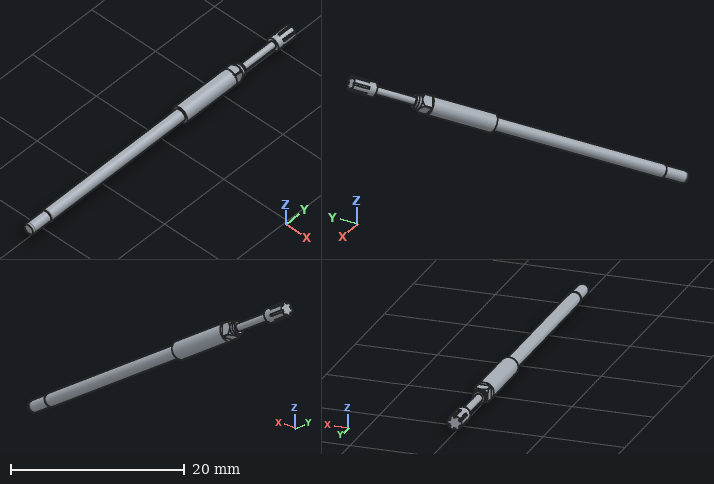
import cadquery as cq

length = 44.3
front = length / 2

drive_across_flats = 1.7

head_radius = 0.9
shaft_radius = 0.5
collar_radius = drive_across_flats / 2
collar_nose_radius = 0.75
barrel_radius = 1.15
tube_radius = 0.85
tail_radius = 0.75

head_end = 3.0
collar_start = 8.35
collar_edge = 8.6
drive_start = 9.0
drive_end = 10.3
barrel_end = 18.75
tube_end = 41.35

tail_chamfer_length = 0.3
tail_chamfer_depth = 0.1
tube_chamfer_length = 0.15
tube_chamfer_depth = 0.035

cutter_margin = 0.45

groove_count = 6
groove_width = 0.245
groove_depth = 0.2
groove_length = 2.0
first_groove_angle = 90.0


def turned_body():
    """Revolve the stepped half profile, listed as (radius, distance), about Y."""
    drive_chamfer = barrel_radius - collar_radius
    profile = [
        (0, 0),
        (head_radius, 0),
        (head_radius, head_end),
        (shaft_radius, head_end),
        (shaft_radius, collar_start),
        (collar_nose_radius, collar_start),
        (collar_radius, collar_edge),
        (collar_radius, drive_start),
        (barrel_radius, drive_start + drive_chamfer),
        (barrel_radius, barrel_end),
        (tube_radius, barrel_end),
        (tube_radius, tube_end - tube_chamfer_length),
        (tube_radius - tube_chamfer_depth, tube_end),
        (tail_radius, tube_end),
        (tail_radius, length - tail_chamfer_length),
        (tail_radius - tail_chamfer_depth, length),
        (0, length),
    ]
    points = [(radius, front - distance) for radius, distance in profile]
    return cq.Workplane("XY").polyline(points).close().revolve(360, (0, 0, 0), (0, 1, 0))


def drive_cutter():
    """Ring of material outside the square drive."""
    start = cq.Workplane("XZ", origin=(0, front - drive_start, 0))
    drive_length = drive_end - drive_start
    stock = start.circle(barrel_radius + cutter_margin).extrude(drive_length)
    square = start.rect(drive_across_flats, drive_across_flats).extrude(drive_length)
    return stock.cut(square)


def groove_cutters():
    """Radial slots open at the head end and at the rim."""
    slot_height = 2 * groove_depth
    return (
        cq.Workplane("XZ", origin=(0, front, 0))
        .polarArray(head_radius, first_groove_angle, 360, groove_count)
        .rect(slot_height, groove_width)
        .extrude(groove_length)
    )


result = turned_body().cut(drive_cutter()).cut(groove_cutters())